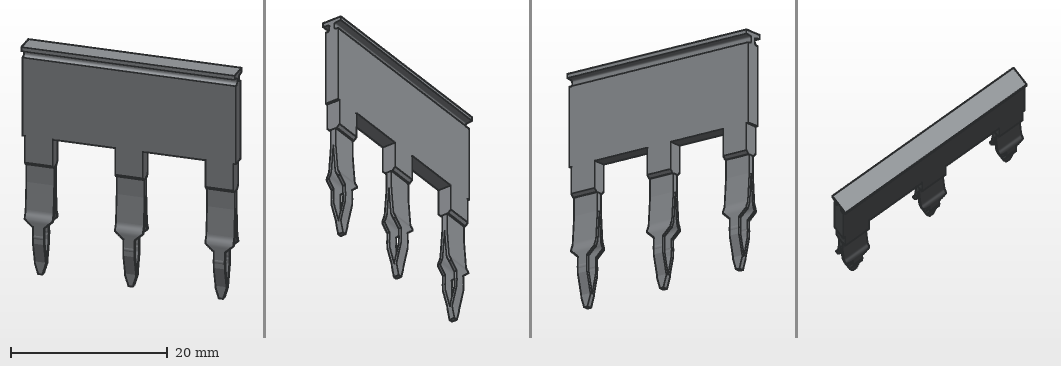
import cadquery as cq
import math

TOTAL_HEIGHT = 31.6
LENGTH = 28.8

HEAD_WIDTH = 2.8
HEAD_EDGE_THICKNESS = 0.57
HEAD_ROOT_THICKNESS = 0.65
HEAD_FILLET = 0.25
NECK_WIDTH = 0.8
GROOVE_BOTTOM_DEPTH = 1.6
GROOVE_FILLET = 0.35
BODY_WIDTH = 1.95
BODY_BOTTOM_Z = 19.15

CONTACT_PITCH = 12.2
CONTACT_COUNT = 3
FOOT_LENGTH = 3.75
FOOT_BOTTOM_Z = 15.07
FOOT_CHAMFER = 0.4

ARM_THICKNESS = 0.395
SPLIT_TOP_Z = 12.58
SPREAD_ANGLE = 4.4
SHOULDER_BEND_TOP_Z = 8.85
SHOULDER_BEND_MID_Z = 8.28
SHOULDER_BEND_BOTTOM_Z = 7.35
SHOULDER_ANGLE = 30.0
BULGE_TOP_Z = 5.6
BULGE_BOTTOM_Z = 5.12
BULGE_HEIGHT = 0.04
KINK_Z = 4.45
TIP_TOP_Z = 1.7

TAPER_TOP_Z = 7.7
TAPER_BOTTOM_Z = 6.7
STEM_LENGTH = 1.5
TIP_LENGTH = 0.57
POINT_TOP_Z = 1.5


def mirrored(points):
    """Mirror points across the vertical axis, in reverse order."""
    return [(-across, z) for across, z in reversed(points)]


def make_housing():
    """Head, grooved neck and body in one profile, with a foot per contact."""
    groove_bottom_z = TOTAL_HEIGHT - GROOVE_BOTTOM_DEPTH
    head_root_z = TOTAL_HEIGHT - HEAD_ROOT_THICKNESS
    half = [
        (BODY_WIDTH / 2, BODY_BOTTOM_Z),
        (BODY_WIDTH / 2, groove_bottom_z),
        (NECK_WIDTH / 2, groove_bottom_z),
        (NECK_WIDTH / 2, head_root_z),
        (HEAD_WIDTH / 2, TOTAL_HEIGHT - HEAD_EDGE_THICKNESS),
        (HEAD_WIDTH / 2, TOTAL_HEIGHT),
    ]
    housing = (
        cq.Workplane("YZ")
        .polyline(half + mirrored(half))
        .close()
        .extrude(LENGTH / 2, both=True)
    )
    housing = housing.edges("|X").edges(neck_corners(groove_bottom_z)).fillet(GROOVE_FILLET)
    housing = housing.edges("|X").edges(neck_corners(head_root_z)).fillet(HEAD_FILLET)
    for x in contact_positions():
        housing = housing.union(make_foot().translate((x, 0, 0)))
    return housing


def neck_corners(z):
    """Selector for the two long inner corners of the neck at height z."""
    half_box_width = (NECK_WIDTH + BODY_WIDTH) / 4
    half_box_height = HEAD_FILLET / 2
    return cq.selectors.BoxSelector(
        (-LENGTH / 2, -half_box_width, z - half_box_height),
        (LENGTH / 2, half_box_width, z + half_box_height),
    )


def make_foot():
    """Block below the body, chamfered along its two lower long edges."""
    half = [
        (BODY_WIDTH / 2 - FOOT_CHAMFER, FOOT_BOTTOM_Z),
        (BODY_WIDTH / 2, FOOT_BOTTOM_Z + FOOT_CHAMFER),
        (BODY_WIDTH / 2, BODY_BOTTOM_Z),
    ]
    return (
        cq.Workplane("YZ")
        .polyline(half + mirrored(half))
        .close()
        .extrude(FOOT_LENGTH / 2, both=True)
    )


def contact_positions():
    """X of each contact, centred on the housing."""
    middle = (CONTACT_COUNT - 1) / 2
    return [(i - middle) * CONTACT_PITCH for i in range(CONTACT_COUNT)]


def turn_down(start, bottom_z, start_angle, end_angle):
    """End point of an arc (or line) down to bottom_z that leans outward by the two angles."""
    chord_angle = math.radians((start_angle + end_angle) / 2)
    y, z = start
    return (y + (z - bottom_z) * math.tan(chord_angle), bottom_z)


def inward(point, angle):
    """Point on the inner face of the arm, opposite a point on its outer face."""
    lean = math.radians(angle)
    y, z = point
    return (y - ARM_THICKNESS * math.cos(lean), z - ARM_THICKNESS * math.sin(lean))


def draw_arm_face(split, bend_top, bend_mid, upright_top, kink, tip):
    """Open outline of one face of a spring arm, from the split down to the tip."""
    upright_y = upright_top[0]
    bulge_middle = (upright_y + BULGE_HEIGHT, (BULGE_TOP_Z + BULGE_BOTTOM_Z) / 2)
    return (
        cq.Workplane("YZ")
        .moveTo(*split)
        .lineTo(*bend_top)
        .tangentArcPoint(bend_mid, relative=False)
        .tangentArcPoint(upright_top, relative=False)
        .lineTo(upright_y, BULGE_TOP_Z)
        .threePointArc(bulge_middle, (upright_y, BULGE_BOTTOM_Z))
        .lineTo(*kink)
        .lineTo(*tip)
    )


def make_bent_blade():
    """Two mirrored spring arms joined at top and tip, at full blade length along X."""
    split = (ARM_THICKNESS, SPLIT_TOP_Z)
    bend_top = turn_down(split, SHOULDER_BEND_TOP_Z, SPREAD_ANGLE, SPREAD_ANGLE)
    bend_mid = turn_down(bend_top, SHOULDER_BEND_MID_Z, SPREAD_ANGLE, SHOULDER_ANGLE)
    upright_top = turn_down(bend_mid, SHOULDER_BEND_BOTTOM_Z, SHOULDER_ANGLE, 0)
    kink = (upright_top[0], KINK_Z)
    tip = (ARM_THICKNESS, TIP_TOP_Z)
    closing_angle = math.atan2(kink[0] - tip[0], kink[1] - tip[1])
    kink_rise = ARM_THICKNESS * math.tan(closing_angle / 2)

    half_blade = (
        draw_arm_face(split, bend_top, bend_mid, upright_top, kink, tip)
        .lineTo(ARM_THICKNESS, 0)
        .lineTo(0, 0)
        .lineTo(0, FOOT_BOTTOM_Z)
        .lineTo(ARM_THICKNESS, FOOT_BOTTOM_Z)
        .close()
        .extrude(FOOT_LENGTH / 2, both=True)
    )
    half_gap = (
        draw_arm_face(
            (0, SPLIT_TOP_Z),
            inward(bend_top, SPREAD_ANGLE),
            inward(bend_mid, SHOULDER_ANGLE),
            inward(upright_top, 0),
            (kink[0] - ARM_THICKNESS, KINK_Z + kink_rise),
            (0, TIP_TOP_Z),
        )
        .close()
        .extrude(FOOT_LENGTH / 2, both=True)
    )
    arm = half_blade.cut(half_gap)
    return arm.union(arm.mirror("XZ"))


def make_contact():
    """Bent blade trimmed to its stepped and pointed outline."""
    half = [
        (TIP_LENGTH / 2, 0),
        (STEM_LENGTH / 2, POINT_TOP_Z),
        (STEM_LENGTH / 2, TAPER_BOTTOM_Z),
        (FOOT_LENGTH / 2, TAPER_TOP_Z),
        (FOOT_LENGTH / 2, FOOT_BOTTOM_Z),
    ]
    outline = (
        cq.Workplane("XZ")
        .polyline(half + mirrored(half))
        .close()
        .extrude(BODY_WIDTH, both=True)
    )
    return make_bent_blade().intersect(outline)


housing = make_housing()
contacts = [make_contact().translate((x, 0, 0)) for x in contact_positions()]

result = cq.Compound.makeCompound([housing.val(), *[contact.val() for contact in contacts]])